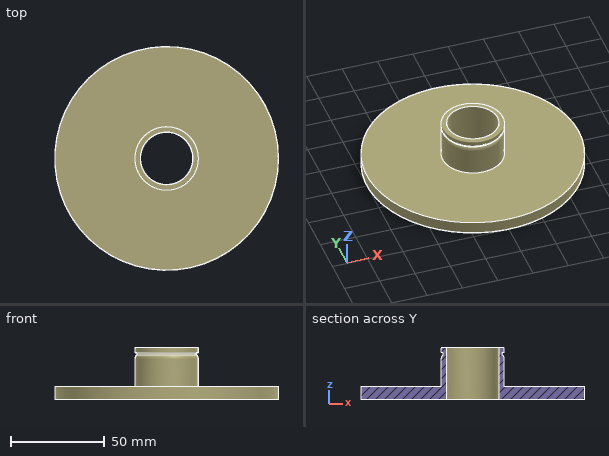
import cadquery as cq

flange_diameter = 120.0
flange_thickness = 7.0

hub_diameter = 34.0
bore_diameter = 28.0
total_height = 28.0

rim_height = 3.0
rim_edge_fillet = 0.5
groove_diameter = 32.0
groove_width = 1.0
shoulder_height = 2.0
shoulder_radius = 3.0

flange_radius = flange_diameter / 2
hub_radius = hub_diameter / 2
bore_radius = bore_diameter / 2
groove_radius = groove_diameter / 2

rim_bottom_z = total_height - rim_height
groove_bottom_z = rim_bottom_z - groove_width
shoulder_start_z = groove_bottom_z - shoulder_height


def make_flange():
    """Flat disc resting on the XY plane."""
    return cq.Workplane("XY").circle(flange_radius).extrude(flange_thickness)


def make_hub():
    """Lower hub body, narrowing to the groove through a convex rounded shoulder."""
    shoulder_profile = (
        cq.Workplane("XZ")
        .lineTo(hub_radius, 0)
        .lineTo(hub_radius, shoulder_start_z)
        .radiusArc((groove_radius, groove_bottom_z), -shoulder_radius)
        .lineTo(groove_radius, rim_bottom_z)
        .lineTo(0, rim_bottom_z)
        .close()
    )
    return shoulder_profile.revolve(360, (0, 0, 0), (0, 1, 0))


def make_rim():
    """Ring at the hub mouth with both outer edges rounded."""
    rim = cq.Workplane("XY").workplane(offset=rim_bottom_z).circle(hub_radius).extrude(rim_height)
    return rim.edges("%CIRCLE").fillet(rim_edge_fillet)


def make_bore():
    """Through hole along the whole axis."""
    return cq.Workplane("XY").circle(bore_radius).extrude(total_height)


result = make_flange().union(make_hub()).union(make_rim()).cut(make_bore())